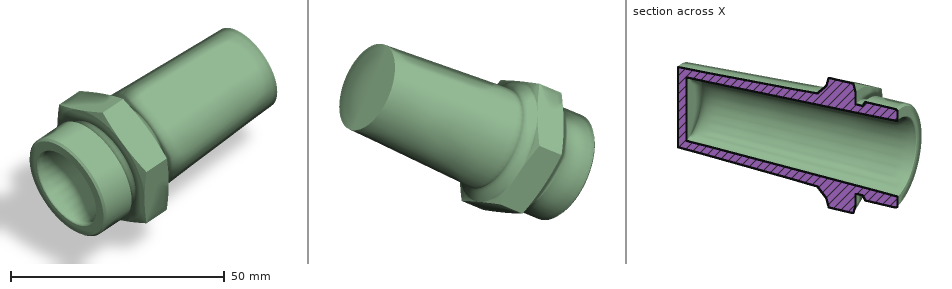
import cadquery as cq
import math

total_length = 57.5
across_flats = 30.0
collar_radius = 26.4 / 2
collar_length = 8.5
collar_chamfer = 0.5
neck_radius = 24.0 / 2
relief_length = 0.7
hex_start = 11.0
hex_end = 18.75
hex_chamfer_angle = 15.0
shoulder_end = 21.05
tube_base_radius = 12.5
tube_tip_radius = 10.75
bore_mouth_radius = 20.0 / 2
bore_floor_radius = 8.4
bore_chamfer = 0.2
floor_thickness = 2.3

flat_radius = across_flats / 2
corner_radius = across_flats / math.sqrt(3)
hex_chamfer_length = (corner_radius - flat_radius) * math.tan(math.radians(hex_chamfer_angle))
neck_start = collar_length + relief_length


def revolve_about_y(points):
    """Revolve a closed (radius, y) outline about the Y axis."""
    return cq.Workplane("XY").polyline(points).close().revolve(360, (0, 0, 0), (0, 1, 0))


def make_round_body():
    return revolve_about_y([
        (0, 0),
        (collar_radius - collar_chamfer, 0),
        (collar_radius, collar_chamfer),
        (collar_radius, collar_length),
        (neck_radius, neck_start),
        (neck_radius, hex_start),
        (flat_radius, hex_start),
        (flat_radius, hex_end),
        (tube_base_radius, shoulder_end),
        (tube_tip_radius, total_length),
        (0, total_length),
    ])


def make_hexagon():
    """Hexagonal collar with corners on Z and both ends turned to a shallow cone."""
    prism = (
        cq.Workplane("XZ", origin=(0, hex_start, 0))
        .polygon(6, 2 * corner_radius)
        .extrude(hex_start - hex_end)
        .rotate((0, 0, 0), (0, 1, 0), 90)
    )
    turned_envelope = revolve_about_y([
        (0, hex_start),
        (flat_radius, hex_start),
        (corner_radius, hex_start + hex_chamfer_length),
        (corner_radius, hex_end - hex_chamfer_length),
        (flat_radius, hex_end),
        (0, hex_end),
    ])
    return prism.intersect(turned_envelope)


def make_bore():
    """Blind bore, tapering from a lightly chamfered mouth to a flat floor."""
    floor = total_length - floor_thickness
    return revolve_about_y([
        (0, 0),
        (bore_mouth_radius + bore_chamfer, 0),
        (bore_mouth_radius, bore_chamfer),
        (bore_floor_radius, floor),
        (0, floor),
    ])


result = make_round_body().union(make_hexagon()).cut(make_bore())